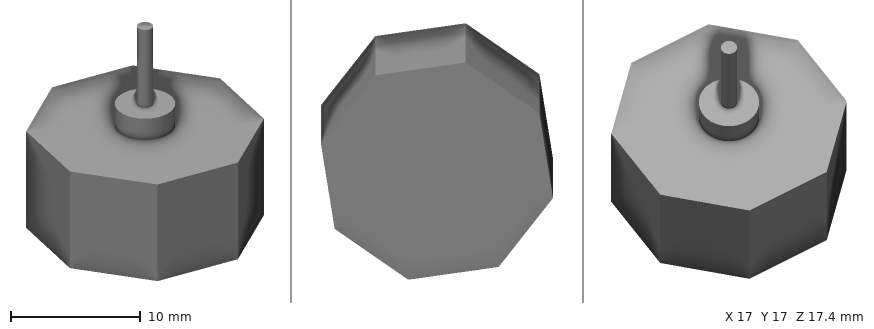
import cadquery as cq
import math

FLAT_COUNT = 8
HOUSING_ACROSS_FLATS = 17.0
HOUSING_HEIGHT = 8.6

COLLAR_DIAMETER = 4.65
COLLAR_HEIGHT = 1.9

SHAFT_DIAMETER = 1.25
OVERALL_HEIGHT = 17.4

COLLAR_TOP = HOUSING_HEIGHT + COLLAR_HEIGHT
SHAFT_LENGTH = OVERALL_HEIGHT - COLLAR_TOP


def make_housing():
    """Octagonal prism standing on Z = 0, centred on the Z axis."""
    half_step = math.pi / FLAT_COUNT
    corner_radius = HOUSING_ACROSS_FLATS / 2 / math.cos(half_step)
    corners = []
    for index in range(FLAT_COUNT):
        angle = (2 * index + 1) * half_step
        corners.append((corner_radius * math.cos(angle), corner_radius * math.sin(angle)))
    return cq.Workplane("XY").polyline(corners).close().extrude(HOUSING_HEIGHT)


def make_cylinder(diameter, base_height, length):
    """Upright cylinder on the Z axis, starting at base_height."""
    return cq.Workplane("XY").workplane(offset=base_height).circle(diameter / 2).extrude(length)


housing = make_housing()
collar = make_cylinder(COLLAR_DIAMETER, HOUSING_HEIGHT, COLLAR_HEIGHT)
shaft = make_cylinder(SHAFT_DIAMETER, COLLAR_TOP, SHAFT_LENGTH)

result = cq.Compound.makeCompound([housing.val(), collar.val(), shaft.val()])